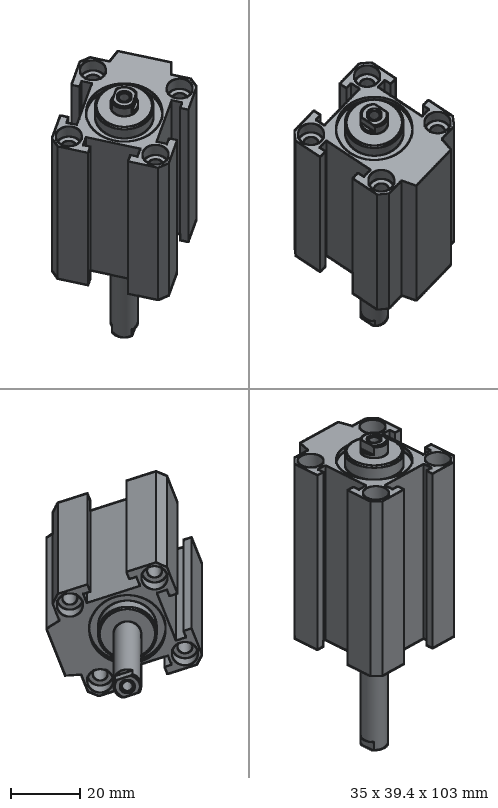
import cadquery as cq


BLOCK_WIDTH = 35.0
BLOCK_HALF = BLOCK_WIDTH / 2
BLOCK_HEIGHT = 59.0
CORNER_CHAMFER = 2.5

RIDGE_TOP_Y = 21.9
RIDGE_TOP_WIDTH = 16.1
RIDGE_BASE_WIDTH = 18.5

SLOT_MOUTH = 11.9
SLOT_INNER_WIDTH = 16.3
SLOT_LIP = 2.5
SLOT_DEPTH = 5.6

HOLE_PITCH = 26.0
HOLE_DIAMETER = 4.3
COUNTERBORE_DIAMETER = 7.5
COUNTERBORE_DEPTH = 4.5

RECESS_DIAMETER = 22.0
RECESS_DEPTH = 1.5
BOSS_DIAMETER = 17.0
BOSS_HEIGHT = 3.0
BOSS_CHAMFER = 0.5

ROD_DIAMETER = 8.0
ROD_LENGTH = 103.0
ROD_TOP_OVERHANG = 7.0
ROD_TOP_Z = BLOCK_HEIGHT + ROD_TOP_OVERHANG
ROD_BOTTOM_Z = ROD_TOP_Z - ROD_LENGTH
ROD_CHAMFER = 0.4
FLATS_WIDTH = 6.0
FLATS_LENGTH = 3.0

BORE_DIAMETER = 3.2
BORE_MOUTH_DIAMETER = 4.3
BORE_DEPTH = 8.2
COUNTERSINK_DEPTH = 0.3


def cylinder(diameter, bottom, top):
    """Cylinder on the Z axis between two heights."""
    return cq.Workplane("XY").workplane(offset=bottom).circle(diameter / 2).extrude(top - bottom)


def mirror_end_to_end(shape, middle_z):
    """Mirror a shape about the horizontal plane at the given height."""
    return shape.mirror("XY", (0, 0, middle_z))


def make_block():
    """Square block with chamfered corners and the tapered ridge on +Y."""
    block = (
        cq.Workplane("XY")
        .rect(BLOCK_WIDTH, BLOCK_WIDTH)
        .extrude(BLOCK_HEIGHT)
        .edges("|Z")
        .chamfer(CORNER_CHAMFER)
    )
    ridge = (
        cq.Workplane("XY")
        .moveTo(-RIDGE_BASE_WIDTH / 2, BLOCK_HALF)
        .lineTo(-RIDGE_TOP_WIDTH / 2, RIDGE_TOP_Y)
        .lineTo(RIDGE_TOP_WIDTH / 2, RIDGE_TOP_Y)
        .lineTo(RIDGE_BASE_WIDTH / 2, BLOCK_HALF)
        .close()
        .extrude(BLOCK_HEIGHT)
    )
    return block.union(ridge)


def make_t_slot():
    """Full-height T-slot cutter for the -Y side of the block."""
    inner_depth = SLOT_DEPTH - SLOT_LIP
    inner_y = -BLOCK_HALF + SLOT_LIP + inner_depth / 2
    mouth_y = -BLOCK_HALF + SLOT_DEPTH / 2
    mouth = cq.Workplane("XY").center(0, mouth_y).rect(SLOT_MOUTH, SLOT_DEPTH).extrude(BLOCK_HEIGHT)
    inner = cq.Workplane("XY").center(0, inner_y).rect(SLOT_INNER_WIDTH, inner_depth).extrude(BLOCK_HEIGHT)
    return mouth.union(inner)


def add_guide_bosses(housing):
    """Sink a recess into both end faces and stand a chamfered boss on each floor."""
    floor = BLOCK_HEIGHT - RECESS_DEPTH
    middle = BLOCK_HEIGHT / 2
    recess = cylinder(RECESS_DIAMETER, floor, BLOCK_HEIGHT)
    boss = cylinder(BOSS_DIAMETER, floor, BLOCK_HEIGHT + BOSS_HEIGHT).faces(">Z").chamfer(BOSS_CHAMFER)
    housing = housing.cut(recess).cut(mirror_end_to_end(recess, middle))
    return housing.union(boss).union(mirror_end_to_end(boss, middle))


def drill_mounting_holes(housing):
    """Drill the four corner holes through the block and counterbore both ends."""
    hole = cylinder(HOLE_DIAMETER, 0, BLOCK_HEIGHT)
    top_counterbore = cylinder(COUNTERBORE_DIAMETER, BLOCK_HEIGHT - COUNTERBORE_DEPTH, BLOCK_HEIGHT)
    bottom_counterbore = mirror_end_to_end(top_counterbore, BLOCK_HEIGHT / 2)
    drill = hole.union(top_counterbore).union(bottom_counterbore)
    for x_side in (-1, 1):
        for y_side in (-1, 1):
            housing = housing.cut(drill.translate((x_side * HOLE_PITCH / 2, y_side * HOLE_PITCH / 2, 0)))
    return housing


def make_housing():
    """Cylinder housing: slotted block, end bosses, mounting holes and the rod passage."""
    housing = make_block()
    for angle in (-90, 0, 90):
        housing = housing.cut(make_t_slot().rotate((0, 0, 0), (0, 0, 1), angle))
    housing = add_guide_bosses(housing)
    housing = drill_mounting_holes(housing)
    rod_passage = cylinder(ROD_DIAMETER, ROD_BOTTOM_Z, ROD_TOP_Z)
    return housing.cut(rod_passage)


def make_rod_end_cut():
    """Cutter for the top end of the rod: two wrench flats and the countersunk bore."""
    flats_bottom = ROD_TOP_Z - FLATS_LENGTH
    blank_size = 2 * ROD_DIAMETER
    sleeve = cylinder(blank_size, flats_bottom, ROD_TOP_Z)
    kept_bar = (
        cq.Workplane("XY")
        .workplane(offset=flats_bottom)
        .rect(FLATS_WIDTH, blank_size)
        .extrude(FLATS_LENGTH)
    )
    bore = (
        cq.Workplane("XZ")
        .moveTo(0, ROD_TOP_Z)
        .lineTo(BORE_MOUTH_DIAMETER / 2, ROD_TOP_Z)
        .lineTo(BORE_DIAMETER / 2, ROD_TOP_Z - COUNTERSINK_DEPTH)
        .lineTo(BORE_DIAMETER / 2, ROD_TOP_Z - BORE_DEPTH)
        .lineTo(0, ROD_TOP_Z - BORE_DEPTH)
        .close()
        .revolve()
    )
    return sleeve.cut(kept_bar).union(bore)


def make_rod():
    """Double-ended piston rod running through the housing."""
    rod = cylinder(ROD_DIAMETER, ROD_BOTTOM_Z, ROD_TOP_Z).faces("<Z or >Z").chamfer(ROD_CHAMFER)
    top_cut = make_rod_end_cut()
    bottom_cut = mirror_end_to_end(top_cut, (ROD_BOTTOM_Z + ROD_TOP_Z) / 2)
    return rod.cut(top_cut).cut(bottom_cut)


housing = make_housing()
rod = make_rod()
result = cq.Compound.makeCompound([housing.solids().val(), rod.solids().val()])